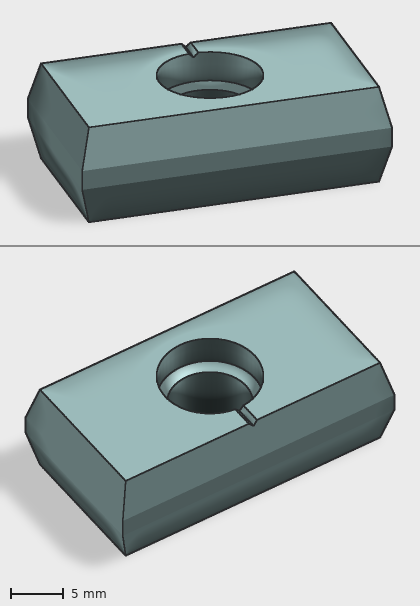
import cadquery as cq

width = 16.8
length = 31.0
height = 10.0
band_height = 1.98
face_inset = 1.0
bore_diameter = 10.17
bore_depth = 3.0
hole_diameter = 8.18
seat_drop = 0.5
groove_depth = 0.45

top_z = height / 2
band_top_z = band_height / 2
bore_radius = bore_diameter / 2
hole_radius = hole_diameter / 2
seat_outer_z = top_z - bore_depth
seat_inner_z = seat_outer_z - seat_drop


def tapered_half():
    """Upper half of the block: half the band, then four sloping sides."""
    band = cq.Workplane("XY").rect(width, length).extrude(band_top_z)
    taper = (
        cq.Workplane("XY", origin=(0, 0, band_top_z))
        .rect(width, length)
        .workplane(offset=top_z - band_top_z)
        .rect(width - 2 * face_inset, length - 2 * face_inset)
        .loft(ruled=True)
    )
    return band.union(taper)


def stepped_hole():
    """Bore, conical seat and through hole, revolved about the Z axis."""
    return (
        cq.Workplane("XZ")
        .moveTo(0, top_z)
        .lineTo(bore_radius, top_z)
        .lineTo(bore_radius, seat_outer_z)
        .lineTo(hole_radius, seat_inner_z)
        .lineTo(hole_radius, -top_z)
        .lineTo(0, -top_z)
        .close()
        .revolve(360, (0, 0, 0), (0, 1, 0))
    )


def marking_groove():
    """90 degree V groove in the top face, from the -X side to the bore."""
    return (
        cq.Workplane("YZ")
        .moveTo(-groove_depth, top_z)
        .lineTo(0, top_z - groove_depth)
        .lineTo(groove_depth, top_z)
        .close()
        .extrude(-width / 2)
    )


upper_half = tapered_half()
block = upper_half.union(upper_half.mirror("XY"))
result = block.cut(stepped_hole()).cut(marking_groove())